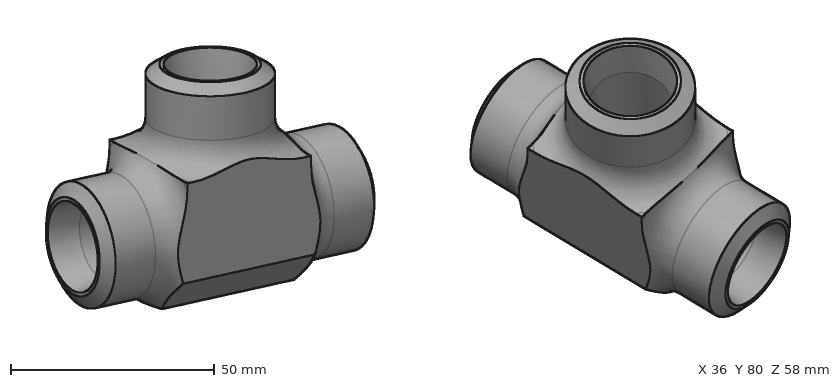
import cadquery as cq

run_length = 80.0
end_reach = run_length / 2
body_width = 36.0
half_width = body_width / 2
lower_chamfer = 9.8

neck_diameter = 32.0
neck_length = 14.0
flare_radius = 8.0
bevel_length = 2.4
bevel_tip_diameter = 25.0

bore_diameter = 20.0
mouth_diameter = 23.0
mouth_depth = 8.2

front_end = (0, -1, 0)
back_end = (0, 1, 0)
top_end = (0, 0, 1)


def plane_along(direction):
    """Plane at the crossing of the axes; its local Y follows the given direction."""
    normal = cq.Vector(1, 0, 0).cross(cq.Vector(*direction))
    return cq.Plane(origin=(0, 0, 0), xDir=(1, 0, 0), normal=normal.toTuple())


def turned_envelope(direction):
    """Turned limit for one end: wide core, shoulder, flare, neck and end bevel."""
    neck_radius = neck_diameter / 2
    neck_start = end_reach - neck_length
    shoulder = neck_start - flare_radius
    core_radius = 2 * end_reach
    arc_offset = flare_radius * 0.5 ** 0.5
    arc_middle = (neck_radius + flare_radius - arc_offset, neck_start - arc_offset)
    return (
        cq.Workplane(plane_along(direction))
        .moveTo(0, -end_reach)
        .lineTo(core_radius, -end_reach)
        .lineTo(core_radius, shoulder)
        .lineTo(neck_radius + flare_radius, shoulder)
        .threePointArc(arc_middle, (neck_radius, neck_start))
        .lineTo(neck_radius, end_reach - bevel_length)
        .lineTo(bevel_tip_diameter / 2, end_reach)
        .lineTo(0, end_reach)
        .close()
        .revolve(360, (0, 0, 0), (0, 1, 0))
    )


def bore(direction):
    """Bore from the crossing of the axes, opening in a taper at the welding end."""
    bore_radius = bore_diameter / 2
    return (
        cq.Workplane(plane_along(direction))
        .lineTo(bore_radius, 0)
        .lineTo(bore_radius, end_reach - mouth_depth)
        .lineTo(mouth_diameter / 2, end_reach)
        .lineTo(0, end_reach)
        .close()
        .revolve(360, (0, 0, 0), (0, 1, 0))
    )


blank_height = half_width + end_reach
body = (
    cq.Workplane("XY")
    .box(body_width, run_length, blank_height)
    .edges("|Y and <Z")
    .chamfer(lower_chamfer)
    .translate((0, 0, blank_height / 2 - half_width))
)

ends = (front_end, back_end, top_end)
for end in ends:
    body = body.intersect(turned_envelope(end))
for end in ends:
    body = body.cut(bore(end))

result = body